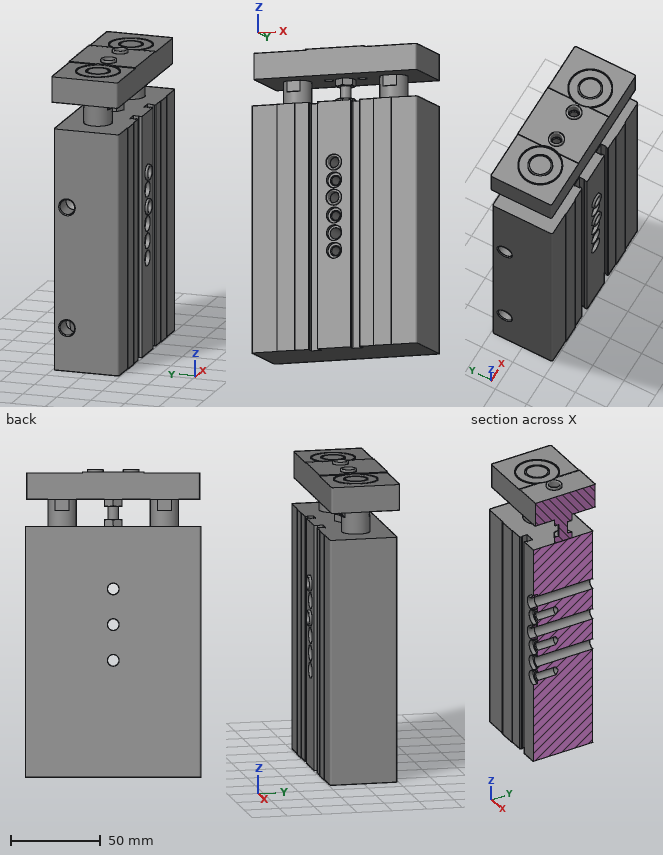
import cadquery as cq
import math

HOUSING_WIDTH = 98.0
HOUSING_DEPTH = 38.3
HOUSING_HEIGHT = 140.0
HOUSING_EDGE_ROUND = 1.2
HOUSING_FRONT = -HOUSING_DEPTH / 2

PAD_HEIGHT = 0.3
CENTRE_PAD_WIDTH = 19.5
SIDE_PAD_WIDTH = 10.5
PAD_FRONT = HOUSING_FRONT - PAD_HEIGHT

SLOT_WIDTH = 5.0
SLOT_DEPTH = 4.8
SLOT_NECK_DEPTH = 1.5
SLOT_UNDERCUT = 0.5
SLOT_EDGE_CHAMFER = 0.5

HOLE_PITCH = 10.0
TOP_HOLE_Z = 105.1
HOLE_COUNT = 6
THROUGH_HOLES = (0, 2, 4)
SLEEVED_HOLES = (0, 2)
THROUGH_DIAMETER = 6.4
THREAD_DIAMETER = 6.0
CORE_DIAMETER = 5.0
CORE_DEPTH = 12.0

SLEEVE_DIAMETER = 9.0
SLEEVE_BORE = 6.4
SLEEVE_PROJECTION = 1.4
SLEEVE_TIP_ROUND = 0.5
RECESS_DEPTH = 2.5

PORT_DIAMETER = 8.6
PORT_MOUTH_DIAMETER = 9.8
PORT_DEPTH = 11.2
PORT_Y = 11.3
PORT_HEIGHTS = (25.0, 95.2)
DRILL_POINT_ANGLE = 118.0

ROD_SPACING = 57.0
ROD_DIAMETER = 16.0
ROD_FLATS = 14.0
ROD_FLAT_LENGTH = 6.2
ROD_END_DIAMETER = 14.0
ROD_END_TIP_DIAMETER = 12.0
PISTON_DIAMETER = 32.0
PISTON_LENGTH = 29.9
PISTON_BOTTOM = PORT_HEIGHTS[0] - PISTON_LENGTH / 2
PISTON_TOP = PISTON_BOTTOM + PISTON_LENGTH

OVERALL_HEIGHT = 171.8
YOKE_WIDTH = 96.5
YOKE_BACK = 20.8
YOKE_DEPTH = 39.0
YOKE_BOTTOM = 155.1
YOKE_EDGE_ROUND = 1.0
RIDGE_WIDTH = 34.5
RIDGE_HEIGHT = 0.5
RIDGE_TOP = OVERALL_HEIGHT - SLEEVE_PROJECTION
YOKE_TOP = RIDGE_TOP - RIDGE_HEIGHT
GROOVE_OUTER_DIAMETER = 25.0
GROOVE_INNER_DIAMETER = 24.0
GROOVE_DEPTH = 0.5

SCREW_DIAMETER = 6.0
HEX_ACROSS_FLATS = 10.0
HEX_HEIGHT = 4.0
HEX_CHAMFER_ANGLE = 30.0

ROD_X = (-ROD_SPACING / 2, ROD_SPACING / 2)
HOLE_HEIGHTS = [TOP_HOLE_Z - i * HOLE_PITCH for i in range(HOLE_COUNT)]
YOKE_HOLE_X = (-HOLE_PITCH, HOLE_PITCH)

UP = cq.Vector(0, 0, 1)
DOWN = cq.Vector(0, 0, -1)
INWARD = cq.Vector(0, 1, 0)
OUTWARD = cq.Vector(0, -1, 0)
SIDEWAYS = cq.Vector(1, 0, 0)


def cylinder(diameter, start, direction, length):
    return cq.Workplane(cq.Solid.makeCylinder(diameter / 2, length, cq.Vector(*start), direction))


def cone(start_diameter, end_diameter, start, direction, length):
    solid = cq.Solid.makeCone(start_diameter / 2, end_diameter / 2, length, cq.Vector(*start), direction)
    return cq.Workplane(solid)


def block(x_range, y_range, z_range):
    sizes = [high - low for low, high in (x_range, y_range, z_range)]
    return cq.Workplane("XY").box(*sizes, centered=False).translate((x_range[0], y_range[0], z_range[0]))


def drill_point_length(diameter):
    return diameter / 2 / math.tan(math.radians(DRILL_POINT_ANGLE / 2))


def drilled_hole(diameter, start, direction, depth):
    """Blind hole with a conical bottom."""
    bottom = cq.Vector(*start) + direction * depth
    point = cone(diameter, 0, bottom.toTuple(), direction, drill_point_length(diameter))
    return cylinder(diameter, start, direction, depth).union(point)


def thread_countersink(start, direction):
    """Small 90-degree lead-in of a threaded hole."""
    return cone(THREAD_DIAMETER, CORE_DIAMETER, start, direction, (THREAD_DIAMETER - CORE_DIAMETER) / 2)


def make_sensor_slot(side):
    """Undercut slot beside the centre pad, with its outer mouth edge chamfered; side is -1 or +1."""
    inner = CENTRE_PAD_WIDTH / 2
    outer = inner + SLOT_WIDTH
    neck_end = HOUSING_FRONT + SLOT_NECK_DEPTH
    bottom = HOUSING_FRONT + SLOT_DEPTH
    outline = [
        (inner, PAD_FRONT),
        (outer + SLOT_EDGE_CHAMFER, PAD_FRONT),
        (outer + SLOT_EDGE_CHAMFER, HOUSING_FRONT),
        (outer, HOUSING_FRONT + SLOT_EDGE_CHAMFER),
        (outer, neck_end),
        (outer + SLOT_UNDERCUT, neck_end),
        (outer + SLOT_UNDERCUT, bottom),
        (inner - SLOT_UNDERCUT, bottom),
        (inner - SLOT_UNDERCUT, neck_end),
        (inner, neck_end),
    ]
    points = [(side * x, y) for x, y in outline]
    return cq.Workplane("XY").polyline(points).close().extrude(HOUSING_HEIGHT)


def make_housing():
    """Block with front pads, sensor slots, mounting holes, air ports and the bores of both rods."""
    body = cq.Workplane("XY").box(HOUSING_WIDTH, HOUSING_DEPTH, HOUSING_HEIGHT, centered=(True, True, False))
    body = body.edges("|Z").fillet(HOUSING_EDGE_ROUND)

    pads = [(0, CENTRE_PAD_WIDTH), (ROD_X[0], SIDE_PAD_WIDTH), (ROD_X[1], SIDE_PAD_WIDTH)]
    for x, width in pads:
        body = body.union(block((x - width / 2, x + width / 2), (PAD_FRONT, 0), (0, HOUSING_HEIGHT)))
    for side in (-1, 1):
        body = body.cut(make_sensor_slot(side))

    for i, z in enumerate(HOLE_HEIGHTS):
        floor = (0, PAD_FRONT + RECESS_DEPTH, z)
        body = body.cut(cylinder(SLEEVE_DIAMETER, (0, PAD_FRONT, z), INWARD, RECESS_DEPTH))
        if i in THROUGH_HOLES:
            body = body.cut(cylinder(THROUGH_DIAMETER, floor, INWARD, HOUSING_DEPTH))
        else:
            body = body.cut(drilled_hole(CORE_DIAMETER, floor, INWARD, CORE_DEPTH))
            body = body.cut(thread_countersink(floor, INWARD))

    for z in PORT_HEIGHTS:
        start = (-HOUSING_WIDTH / 2, PORT_Y, z)
        body = body.cut(drilled_hole(PORT_DIAMETER, start, SIDEWAYS, PORT_DEPTH))
        mouth_depth = (PORT_MOUTH_DIAMETER - PORT_DIAMETER) / 2
        body = body.cut(cone(PORT_MOUTH_DIAMETER, PORT_DIAMETER, start, SIDEWAYS, mouth_depth))

    for x in ROD_X:
        body = body.cut(cylinder(PISTON_DIAMETER, (x, 0, PISTON_BOTTOM), UP, PISTON_LENGTH))
        body = body.cut(cylinder(ROD_DIAMETER, (x, 0, PISTON_TOP), UP, HOUSING_HEIGHT - PISTON_TOP))
    return body


def make_rod(x):
    """Piston, guide rod with two wrench flats, and a chamfered end that fills the yoke hole."""
    rod = cylinder(PISTON_DIAMETER, (x, 0, PISTON_BOTTOM), UP, PISTON_LENGTH)
    rod = rod.union(cylinder(ROD_DIAMETER, (x, 0, PISTON_TOP), UP, YOKE_BOTTOM - PISTON_TOP))

    radius = ROD_DIAMETER / 2
    flat_z = (YOKE_BOTTOM - ROD_FLAT_LENGTH, YOKE_BOTTOM)
    for y_range in ((-radius, -ROD_FLATS / 2), (ROD_FLATS / 2, radius)):
        rod = rod.cut(block((x - radius, x + radius), y_range, flat_z))

    chamfer = (ROD_END_DIAMETER - ROD_END_TIP_DIAMETER) / 2
    end = cylinder(ROD_END_DIAMETER, (x, 0, YOKE_BOTTOM), UP, YOKE_TOP - YOKE_BOTTOM)
    return rod.union(end.faces(">Z").chamfer(chamfer))


def make_hex():
    """Hexagon of the stop screw, standing on z = 0, with the corners of its top face chamfered off."""
    hexagon = cq.Workplane("XY").polygon(6, HEX_ACROSS_FLATS, circumscribed=True).extrude(HEX_HEIGHT)
    corner_radius = HEX_ACROSS_FLATS / math.sqrt(3)
    corner_cut = corner_radius - HEX_ACROSS_FLATS / 2
    corner_drop = corner_cut * math.tan(math.radians(HEX_CHAMFER_ANGLE))
    crown = cq.Workplane("XY").circle(corner_radius).extrude(HEX_HEIGHT)
    crown = crown.faces(">Z").chamfer(corner_drop, corner_cut)
    return hexagon.intersect(crown)


def make_yoke():
    """Plate with its central ridge, rod holes, sleeve recesses and the stop screw it carries."""
    half_width = YOKE_WIDTH / 2
    y_range = (YOKE_BACK - YOKE_DEPTH, YOKE_BACK)
    yoke = block((-half_width, half_width), y_range, (YOKE_BOTTOM, YOKE_TOP))
    yoke = yoke.edges("|Z").fillet(YOKE_EDGE_ROUND)
    yoke = yoke.union(block((-RIDGE_WIDTH / 2, RIDGE_WIDTH / 2), y_range, (YOKE_BOTTOM, RIDGE_TOP)))

    for x in ROD_X:
        groove_floor = (x, 0, YOKE_TOP - GROOVE_DEPTH)
        groove = cylinder(GROOVE_OUTER_DIAMETER, groove_floor, UP, RIDGE_HEIGHT + GROOVE_DEPTH)
        land = cylinder(GROOVE_INNER_DIAMETER, groove_floor, UP, GROOVE_DEPTH)
        yoke = yoke.cut(groove.cut(land))
        yoke = yoke.cut(cylinder(ROD_END_DIAMETER, (x, 0, YOKE_BOTTOM), UP, YOKE_TOP - YOKE_BOTTOM))

    for x in YOKE_HOLE_X:
        floor_z = RIDGE_TOP - RECESS_DEPTH
        yoke = yoke.cut(cylinder(SLEEVE_DIAMETER, (x, 0, RIDGE_TOP), DOWN, RECESS_DEPTH))
        yoke = yoke.cut(cylinder(CORE_DIAMETER, (x, 0, floor_z), DOWN, floor_z - YOKE_BOTTOM))
        yoke = yoke.cut(thread_countersink((x, 0, floor_z), DOWN))

    yoke = yoke.union(cylinder(SCREW_DIAMETER, (0, 0, HOUSING_HEIGHT), UP, YOKE_BOTTOM - HOUSING_HEIGHT))
    yoke = yoke.union(make_hex().mirror("XY").translate((0, 0, YOKE_BOTTOM)))
    return yoke.union(make_hex().translate((0, 0, HOUSING_HEIGHT)))


def make_sleeve(floor, direction):
    """Centring sleeve that stands on the recess floor, with both edges of its free end rounded."""
    length = RECESS_DEPTH + SLEEVE_PROJECTION
    sleeve = cylinder(SLEEVE_DIAMETER, floor, direction, length)
    sleeve = sleeve.cut(cylinder(SLEEVE_BORE, floor, direction, length))
    tip_face = sleeve.faces(cq.selectors.DirectionMinMaxSelector(direction))
    return tip_face.edges().fillet(SLEEVE_TIP_ROUND)


housing = make_housing()
yoke = make_yoke()
rods = [make_rod(x) for x in ROD_X]
front_sleeves = [make_sleeve((0, PAD_FRONT + RECESS_DEPTH, HOLE_HEIGHTS[i]), OUTWARD) for i in SLEEVED_HOLES]
yoke_sleeves = [make_sleeve((x, 0, RIDGE_TOP - RECESS_DEPTH), UP) for x in YOKE_HOLE_X]

bodies = [housing, yoke, *rods, *front_sleeves, *yoke_sleeves]
result = cq.Compound.makeCompound([body.solids().val() for body in bodies])